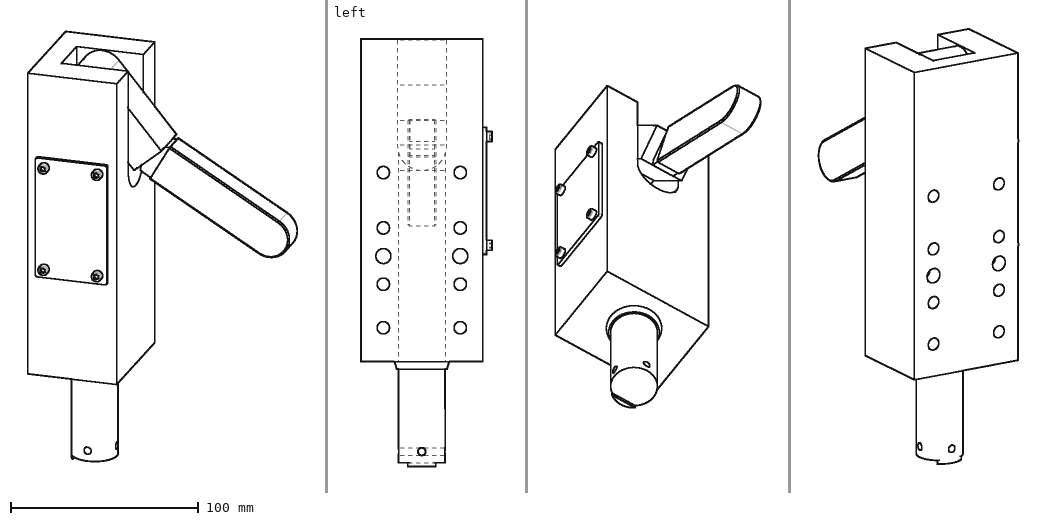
import cadquery as cq
import math


housing_length = 50.0
housing_width = 65.0
housing_height = 172.0
axis_from_back = 27.0
housing_back = -axis_from_back
housing_front = housing_back + housing_length

slot_width = 26.0
slot_back_wall = 12.5
slot_floor = 102.0
slot_radius = slot_width / 2
slot_back = housing_back + slot_back_wall

screw_hole_diameter = 6.6
dowel_hole_diameter = 8.0
dowel_height = 56.25
inner_screw_offset = 15.0
lowest_screw_height = 18.0
highest_screw_height = 100.75
hole_pairs = [
    (lowest_screw_height, screw_hole_diameter),
    (dowel_height - inner_screw_offset, screw_hole_diameter),
    (dowel_height, dowel_hole_diameter),
    (dowel_height + inner_screw_offset, screw_hole_diameter),
    (highest_screw_height, screw_hole_diameter),
]
hole_pair_spacing = 41.0
hole_depth = 10.0
drill_tip_angle = 118.0

spindle_diameter = 25.0
spindle_radius = spindle_diameter / 2
spindle_drop = 54.0
spindle_top = slot_floor
tab_height = 2.0
tab_thickness = 2.5
collar_top_diameter = 29.5
collar_bottom_diameter = 27.0
collar_height = 4.0
cross_hole_diameter = 4.0
cross_hole_height = -48.0

hub_radius = 12.0
hub_top_gap = 0.5
hub_height = housing_height - hub_top_gap - hub_radius
arm_angle = 50.0
arm_length = 50.5
arm_depth = 20.0
arm_middle = hub_radius - arm_depth / 2
neck_length = 5.66
neck_heel = 1.2
grip_angle = 30.0
grip_depth = 23.0
grip_thickness = 15.0
grip_radius = grip_depth / 2
grip_straight = 70.5
grip_edge = 0.8
neck_depth = grip_depth - 2 * grip_edge
neck_thickness = 13.0

cover_length = 40.0
cover_height = 68.0
cover_thickness = 2.0
cover_corner_radius = 1.0
cover_middle_x = housing_back + housing_length / 2
cover_middle_z = 91.0
screw_inset = 5.0
head_diameter = 5.5
head_height = 3.0
head_edge = 0.5
socket_width = 2.5
socket_depth = 1.5


def along_slope(start, angle, forward, upward):
    """Point reached from start in a frame that slopes down by angle degrees."""
    a = math.radians(angle)
    x = start[0] + forward * math.cos(a) + upward * math.sin(a)
    z = start[1] - forward * math.sin(a) + upward * math.cos(a)
    return (x, z)


def lever_plane():
    """XZ workplane, whose extrusions with both=True are centred on Y = 0."""
    return cq.Workplane("XZ")


def drilled_hole(y, z, diameter):
    """Blind hole with a conical tip, running in from the back face."""
    radius = diameter / 2
    tip_length = radius / math.tan(math.radians(drill_tip_angle / 2))
    half_section = (
        cq.Workplane("XY")
        .moveTo(0, 0)
        .lineTo(0, radius)
        .lineTo(hole_depth, radius)
        .lineTo(hole_depth + tip_length, 0)
        .close()
    )
    hole = half_section.revolve(360, (0, 0, 0), (1, 0, 0))
    return hole.translate((housing_back, y, z))


def make_housing():
    block = (
        cq.Workplane("XY")
        .box(housing_length, housing_width, housing_height, centered=(False, True, False))
        .translate((housing_back, 0, 0))
    )
    slot = (
        cq.Workplane("YZ", origin=(slot_back, 0, 0))
        .moveTo(-slot_radius, housing_height)
        .lineTo(-slot_radius, slot_floor + slot_radius)
        .threePointArc((0, slot_floor), (slot_radius, slot_floor + slot_radius))
        .lineTo(slot_radius, housing_height)
        .close()
        .extrude(housing_front - slot_back)
    )
    spindle_bore = cq.Workplane("XY").circle(spindle_radius).extrude(slot_floor + slot_radius)
    body = block.cut(slot).cut(spindle_bore)
    for z, diameter in hole_pairs:
        for side in (-1, 1):
            body = body.cut(drilled_hole(side * hole_pair_spacing / 2, z, diameter))
    return body


def make_spindle():
    total_length = spindle_top + spindle_drop + tab_height
    rod = (
        cq.Workplane("XY", origin=(0, 0, -spindle_drop - tab_height))
        .circle(spindle_radius)
        .extrude(total_length)
    )
    end_step = (
        cq.Workplane("XY", origin=(0, 0, -spindle_drop - tab_height))
        .box(spindle_diameter, spindle_diameter, tab_height, centered=(False, True, False))
        .translate((tab_thickness - spindle_radius, 0, 0))
    )
    collar = (
        cq.Workplane("XY")
        .circle(collar_top_diameter / 2)
        .workplane(offset=-collar_height)
        .circle(collar_bottom_diameter / 2)
        .loft()
    )
    body = rod.cut(end_step).union(collar)
    for plane in ("XZ", "YZ"):
        cross_hole = (
            cq.Workplane(plane)
            .center(0, cross_hole_height)
            .circle(cross_hole_diameter / 2)
            .extrude(spindle_diameter, both=True)
        )
        body = body.cut(cross_hole)
    return body


hub_centre = (0.0, hub_height)
arm_end = along_slope(hub_centre, arm_angle, arm_length, arm_middle)
grip_start = along_slope(arm_end, grip_angle, neck_length, 0)


def make_lever():
    arm_top = hub_radius
    arm_bottom = hub_radius - arm_depth
    hub = lever_plane().center(*hub_centre).circle(hub_radius).extrude(slot_width / 2, both=True)
    arm = (
        lever_plane()
        .polyline([
            along_slope(hub_centre, arm_angle, 0, arm_top),
            along_slope(hub_centre, arm_angle, arm_length, arm_top),
            along_slope(hub_centre, arm_angle, arm_length, arm_bottom),
            along_slope(hub_centre, arm_angle, 0, arm_bottom),
        ])
        .close()
        .extrude(slot_width / 2, both=True)
    )
    neck = (
        lever_plane()
        .polyline([
            along_slope(grip_start, grip_angle, 0, neck_depth / 2),
            along_slope(grip_start, grip_angle, 0, -neck_depth / 2),
            along_slope(arm_end, grip_angle, -neck_heel, -neck_depth / 2),
            along_slope(hub_centre, arm_angle, arm_length - neck_length, arm_middle),
            along_slope(hub_centre, arm_angle, arm_length, arm_top),
        ])
        .close()
        .extrude(neck_thickness / 2, both=True)
    )
    return hub.union(arm).union(neck)


def make_grip():
    grip = (
        lever_plane()
        .moveTo(*along_slope(grip_start, grip_angle, 0, grip_radius))
        .lineTo(*along_slope(grip_start, grip_angle, grip_straight, grip_radius))
        .threePointArc(
            along_slope(grip_start, grip_angle, grip_straight + grip_radius, 0),
            along_slope(grip_start, grip_angle, grip_straight, -grip_radius),
        )
        .lineTo(*along_slope(grip_start, grip_angle, 0, -grip_radius))
        .close()
        .extrude(grip_thickness / 2, both=True)
    )
    flat_end_edges = grip.faces("<X").edges("not |Y")
    rim = grip.faces("|Y").edges().filter(
        lambda edge: not any(edge.isSame(sharp) for sharp in flat_end_edges.vals())
    )
    return rim.chamfer(grip_edge)


def make_cover():
    """Cover plate on the -Y side of the housing, together with its four screw heads."""
    seat_y = -housing_width / 2
    outer_y = seat_y - cover_thickness
    plate = (
        cq.Workplane("XZ", origin=(cover_middle_x, seat_y, cover_middle_z))
        .rect(cover_length, cover_height)
        .extrude(cover_thickness)
        .edges("|Y")
        .fillet(cover_corner_radius)
    )
    head = (
        cq.Workplane("XZ")
        .circle(head_diameter / 2)
        .extrude(head_height)
        .faces("<Y")
        .edges()
        .fillet(head_edge)
        .faces("<Y")
        .workplane()
        .polygon(6, socket_width, circumscribed=True)
        .cutBlind(-socket_depth)
    )
    for side_x in (-1, 1):
        for side_z in (-1, 1):
            x = cover_middle_x + side_x * (cover_length / 2 - screw_inset)
            z = cover_middle_z + side_z * (cover_height / 2 - screw_inset)
            plate = plate.union(head.translate((x, outer_y, z)))
    return plate


housing = make_housing()
spindle = make_spindle()
lever = make_lever()
grip = make_grip()
cover = make_cover()

result = cq.Compound.makeCompound(
    [housing.val(), spindle.val(), lever.val(), grip.val(), cover.val()]
)